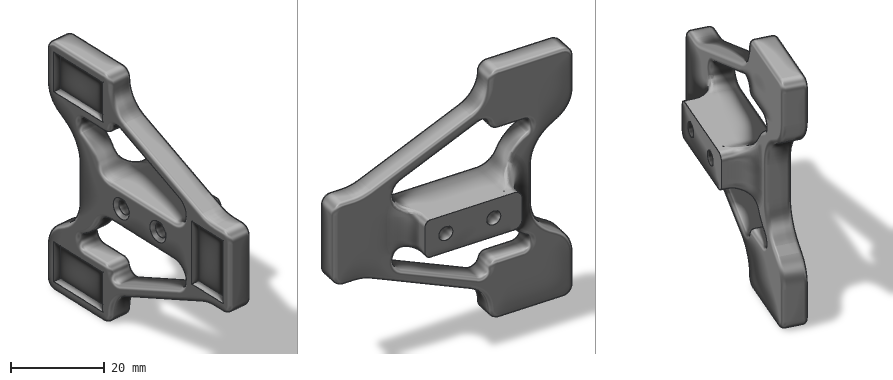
import cadquery as cq
import math

tolerance = 0.0005

length = 59.8
height = 63.3
plate_thickness = 6.0
edge_radius = 1.0
half_height = height / 2

corner_pad_width = 20.9
pad_corner_radius = 2.55
end_pad_half_height = 10.4
pocket_long = 16.0
pocket_short = 10.1
pocket_depth = 2.0
pocket_margin = 2.35

waist_x = 10.4
waist_corner_z = 10.25
waist_radius = 9.8
shoulder_z = 16.7
shoulder_radius = 7.6

strut_start_z = 24.2
strut_end_x = 52.4
strut_end_radius = 10.4
strut_width = 2.8

bar_half_height = 4.75
window_pad_z = 16.85
window_small_radius = 2.0
window_tip_radius = 3.55
bar_corner_x = 17.65
bar_corner_radius = 5.05
brace_corner_x = 14.75
brace_corner_z = 11.1
window_left_corner_x = 4.75
window_step_x = 20.4
window_step_angle = 78.0

hole_x = (24.4, 36.35)
hole_diameter = 3.5
hole_mouth_diameter = 5.2

boss_left = 17.35
boss_right = 41.6
boss_rise = 7.4
boss_corner_radius = 1.95
boss_right_half_height = 5.0
boss_left_flare = 5.8
boss_right_flare = 5.0
boss_middle = (boss_left + boss_right) / 2
depth = plate_thickness + boss_rise
foot_margin = 0.65


def corner_sides(corners, i):
    """Corner point, unit vectors towards its two neighbours, and half the angle between them."""
    points = [cq.Vector(x, z, 0) for x, z, _ in corners]
    corner = points[i]
    to_last = (points[i - 1] - corner).normalized()
    to_next = (points[(i + 1) % len(points)] - corner).normalized()
    return corner, to_last, to_next, to_last.getAngle(to_next) / 2


def with_touching_arcs(corners):
    """Replace each radius of None by the one whose arc starts where the arc before it ends."""
    filled = []
    for i, (x, z, radius) in enumerate(corners):
        corner, _, _, half_angle = corner_sides(corners, i)
        if radius is None:
            gap = math.dist((x, z), corners[i - 1][:2])
            radius = (gap - setback) * math.tan(half_angle)
        setback = radius / math.tan(half_angle)
        filled.append((x, z, radius))
    return filled


def mirrored(corners):
    """The same corners reflected to the other side of the XY plane, in reverse order."""
    return [(x, -z, radius) for x, z, radius in reversed(corners)]


def rounded_outline(corners):
    """Closed XZ wire through sharp corners (x, z, radius), each replaced by a tangent arc."""
    arcs = []
    for i, (_, _, radius) in enumerate(corners):
        corner, to_last, to_next, half_angle = corner_sides(corners, i)
        setback = radius / math.tan(half_angle)
        bisector = (to_last + to_next).normalized()
        middle = corner + bisector * (radius / math.sin(half_angle) - radius)
        arc = (corner + to_last * setback, middle, corner + to_next * setback)
        arcs.append([(point.x, point.y) for point in arc])
    end_of_last = arcs[-1][2]
    outline = cq.Workplane("XZ").moveTo(*end_of_last)
    for start, middle, end in arcs:
        if math.dist(end_of_last, start) > tolerance:
            outline = outline.lineTo(*start)
        outline = outline.threePointArc(middle, end)
        end_of_last = end
    return outline.close()


def plate_outline():
    """Outer outline of the plate, symmetric about the XY plane."""
    upper = [
        (waist_x, waist_corner_z, waist_radius),
        (0, shoulder_z, shoulder_radius),
        (0, half_height, pad_corner_radius),
        (corner_pad_width, half_height, pad_corner_radius),
        (corner_pad_width, strut_start_z, None),
        (strut_end_x, end_pad_half_height, strut_end_radius),
        (length, end_pad_half_height, pad_corner_radius),
    ]
    upper = with_touching_arcs(upper)
    return rounded_outline(upper + mirrored(upper))


def window_corners():
    """Corners of the upper window, its long side parallel to the strut's outer side."""
    slope = (strut_start_z - end_pad_half_height) / (strut_end_x - corner_pad_width)
    inner_z = strut_start_z - strut_width * math.hypot(1, slope)
    step = math.tan(math.radians(window_step_angle))
    run = (inner_z + slope * (corner_pad_width - window_step_x) - window_pad_z) / (step + slope)
    corners = [
        (bar_corner_x, bar_half_height, bar_corner_radius),
        (brace_corner_x, brace_corner_z, None),
        (window_left_corner_x, window_pad_z, window_small_radius),
        (window_step_x, window_pad_z, window_small_radius),
        (window_step_x + run, window_pad_z + run * step, None),
        (corner_pad_width + (inner_z - bar_half_height) / slope, bar_half_height, window_tip_radius),
    ]
    return with_touching_arcs(corners)


def back_face_zone(left, right, half_width):
    """Selector for edges centred on the back face of the plate, within the given limits."""
    return cq.selectors.BoxSelector(
        (left, plate_thickness - tolerance, -half_width),
        (right, plate_thickness + tolerance, half_width),
    )


def flared_boss(left, right, boss_half_height, flare_radius):
    """Solid plate and boss between left and right, with the foot of the boss flared onto the plate."""
    block = (
        cq.Workplane("XZ")
        .center(boss_middle, 0)
        .rect(boss_right - boss_left, 2 * boss_half_height)
        .extrude(-depth)
        .edges("|Y")
        .fillet(boss_corner_radius)
    )
    foot = back_face_zone(
        boss_left - foot_margin, boss_right + foot_margin, boss_half_height + foot_margin
    )
    side = cq.Workplane("XY").box(right - left, depth, height, centered=(False, False, True))
    plate = plate_outline().extrude(-plate_thickness)
    return plate.union(block).edges(foot).fillet(flare_radius).intersect(side.translate((left, 0, 0)))


def pocket(x, z, size_x, size_z):
    """Cutter for a rectangular pocket in the front face, centred at (x, z)."""
    return cq.Workplane("XZ").center(x, z).rect(size_x, size_z).extrude(-pocket_depth)


def screw_hole(x):
    """Cutter for a hole through the bar and boss, countersunk at 45 degrees from the front."""
    mouth_depth = (hole_mouth_diameter - hole_diameter) / 2
    bore = cq.Workplane("XZ").center(x, 0).circle(hole_diameter / 2).extrude(-depth)
    cone = cq.Solid.makeCone(
        hole_mouth_diameter / 2, hole_diameter / 2, mouth_depth, cq.Vector(x, 0, 0), cq.Vector(0, 1, 0)
    )
    return bore.union(cq.Workplane(cone))


body = flared_boss(0, boss_middle, bar_half_height, boss_left_flare).union(
    flared_boss(boss_middle, length, boss_right_half_height, boss_right_flare)
)

for corners in (window_corners(), mirrored(window_corners())):
    body = body.cut(rounded_outline(corners).extrude(-depth))

body = body.faces("<Y").edges().fillet(edge_radius)
body = body.edges("|X").edges(back_face_zone(0, length, height)).fillet(edge_radius)

corner_pocket_x = pocket_margin + pocket_long / 2
corner_pocket_z = half_height - pocket_margin - pocket_short / 2
for z in (corner_pocket_z, -corner_pocket_z):
    body = body.cut(pocket(corner_pocket_x, z, pocket_long, pocket_short))
body = body.cut(pocket(length - pocket_margin - pocket_short / 2, 0, pocket_short, pocket_long))

for x in hole_x:
    body = body.cut(screw_hole(x))

result = body